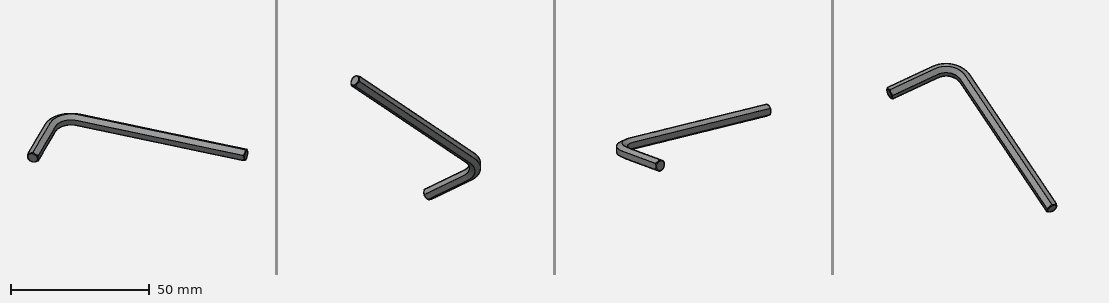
import cadquery as cq
import math

long_reach = 74.0
short_reach = 29.0

across_flats = 4.0
across_corners = across_flats / math.cos(math.pi / 6)
bend_radius = 8.0

end_face_diameter = 3.6
chamfer_length = 0.45

centre_offset = across_flats / 2
bend_start = centre_offset + bend_radius
short_end = (centre_offset, -short_reach, 0)
long_end = (long_reach, -centre_offset, 0)


def bent_bar():
    """Hexagonal bar swept along both legs, with two corners pointing along Z."""
    diagonal = bend_radius * math.sqrt(0.5)
    path = (
        cq.Workplane("XY")
        .moveTo(centre_offset, -short_reach)
        .lineTo(centre_offset, -bend_start)
        .threePointArc(
            (bend_start - diagonal, -bend_start + diagonal),
            (bend_start, -centre_offset),
        )
        .lineTo(long_reach, -centre_offset)
    )
    start_plane = cq.Plane(origin=short_end, xDir=(0, 0, 1), normal=(0, 1, 0))
    return cq.Workplane(start_plane).polygon(6, across_corners).sweep(path)


def chamfer_cutter(end_point, inward):
    """Ring around a bar end whose conical bore trims the six corners."""
    end_radius = end_face_diameter / 2
    corner_radius = across_corners / 2
    centre = cq.Vector(*end_point)
    direction = cq.Vector(*inward)
    sleeve = cq.Solid.makeCylinder(across_flats, chamfer_length, centre, direction)
    cone = cq.Solid.makeCone(end_radius, corner_radius, chamfer_length, centre, direction)
    return sleeve.cut(cone)


result = bent_bar()
for end_point, inward in ((short_end, (0, 1, 0)), (long_end, (-1, 0, 0))):
    result = result.cut(cq.Workplane(obj=chamfer_cutter(end_point, inward)))